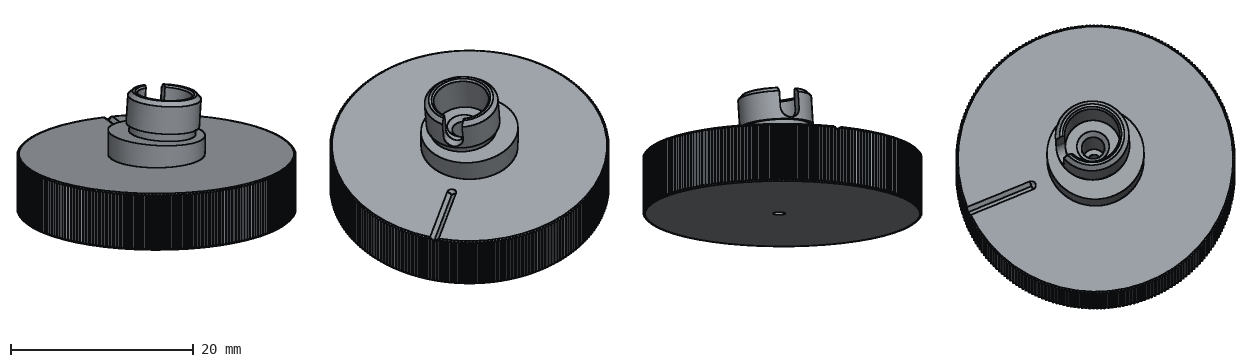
import cadquery as cq
import math

DISC_RADIUS = 15.25
DISC_HEIGHT = 6.47
DISC_CHAMFER = 0.2
KNURL_COUNT = 234
KNURL_DEPTH = 0.18
KNURL_GROOVE_SHARE = 0.78

POINTER_HALF_WIDTH = 0.5
POINTER_DEPTH = 0.37
POINTER_END_X = -7.62

BOSS_RADIUS = 5.3
BOSS_TOP_Z = 8.85

TILT_ANGLE = 3.7
SOCKET_OFFSET_Y = 0.67
NECK_RADIUS = 3.65
NECK_HEIGHT = 0.9
NECK_ROOT = NECK_HEIGHT
COLLAR_RADIUS = 4.03
SOCKET_HEIGHT = 4.5
COLLAR_CHAMFER = 0.5
BORE_RADIUS = 3.02
BORE_FLOOR = 0.45
BORE_CHAMFER = 0.2

SLOT_WIDTH = 2.23
SLOT_BOTTOM = 1.1

COUNTERSINK_RADIUS = 1.77
SEAT_RADIUS = 1.25
COUNTERSINK_DEPTH = COUNTERSINK_RADIUS - SEAT_RADIUS
SEAT_DEPTH = 4.58
HOLE_RADIUS = 0.65
HOLE_OFFSET_Y = 0.4

TILTED = cq.Plane(origin=(0, SOCKET_OFFSET_Y, BOSS_TOP_Z)).rotated((-TILT_ANGLE, 0, 0))


def polar(radius, angle):
    return (radius * math.cos(angle), radius * math.sin(angle))


def revolve_on_tilted_axis(profile):
    """Turn (radius, height) points about the tilted axis."""
    plane = cq.Plane(origin=TILTED.origin, xDir=TILTED.xDir, normal=-TILTED.yDir)
    return cq.Workplane(plane).polyline(profile).close().revolve(360, (0, 0), (0, 1))


def knurled_blank():
    """Prism with round-crested teeth and V-shaped grooves around its rim."""
    pitch = 2 * math.pi / KNURL_COUNT
    half_crest = pitch * (1 - KNURL_GROOVE_SHARE) / 2
    root_radius = DISC_RADIUS - KNURL_DEPTH
    rim = cq.Workplane("XY").moveTo(*polar(root_radius, -pitch / 2))
    for tooth in range(KNURL_COUNT):
        middle = tooth * pitch
        crest_start = polar(DISC_RADIUS, middle - half_crest)
        crest_middle = polar(DISC_RADIUS, middle)
        crest_end = polar(DISC_RADIUS, middle + half_crest)
        rim = rim.lineTo(*crest_start).threePointArc(crest_middle, crest_end)
        rim = rim.lineTo(*polar(root_radius, middle + pitch / 2))
    return rim.close().extrude(DISC_HEIGHT)


def chamfer_envelope():
    """Round body whose conical ends chamfer the disc and whose middle stays clear of the teeth."""
    end_radius = DISC_RADIUS - DISC_CHAMFER
    reach = 2 * DISC_CHAMFER
    return (
        cq.Workplane("XZ")
        .polyline([
            (0, 0),
            (end_radius, 0),
            (end_radius + reach, reach),
            (end_radius + reach, DISC_HEIGHT - reach),
            (end_radius, DISC_HEIGHT),
            (0, DISC_HEIGHT),
        ])
        .close()
        .revolve(360, (0, 0), (0, 1))
    )


def pointer_groove():
    """V groove running out through the rim, closed at its inner end by half a cone."""
    start = cq.Workplane("YZ", origin=(POINTER_END_X, 0, DISC_HEIGHT))
    left = (-POINTER_HALF_WIDTH, 0)
    right = (POINTER_HALF_WIDTH, 0)
    tip = (0, -POINTER_DEPTH)
    groove = start.polyline([left, right, tip]).close().extrude(-DISC_RADIUS)
    conical_end = start.polyline([(0, 0), right, tip]).close().revolve(180, (0, 0), tip)
    return groove.union(conical_end)


def sloped_boss():
    boss = cq.Workplane("XY").circle(BOSS_RADIUS).extrude(BOSS_TOP_Z + BOSS_RADIUS)
    above_slope = cq.Workplane(TILTED).circle(2 * BOSS_RADIUS).extrude(2 * BOSS_RADIUS)
    return boss.cut(above_slope)


def socket():
    return revolve_on_tilted_axis([
        (0, -NECK_ROOT),
        (NECK_RADIUS, -NECK_ROOT),
        (NECK_RADIUS, NECK_HEIGHT),
        (COLLAR_RADIUS, NECK_HEIGHT),
        (COLLAR_RADIUS, SOCKET_HEIGHT - COLLAR_CHAMFER),
        (COLLAR_RADIUS - COLLAR_CHAMFER, SOCKET_HEIGHT),
        (0, SOCKET_HEIGHT),
    ])


def stepped_bore():
    return revolve_on_tilted_axis([
        (0, SOCKET_HEIGHT),
        (BORE_RADIUS + BORE_CHAMFER, SOCKET_HEIGHT),
        (BORE_RADIUS, SOCKET_HEIGHT - BORE_CHAMFER),
        (BORE_RADIUS, BORE_FLOOR),
        (COUNTERSINK_RADIUS, BORE_FLOOR),
        (SEAT_RADIUS, BORE_FLOOR - COUNTERSINK_DEPTH),
        (SEAT_RADIUS, BORE_FLOOR - SEAT_DEPTH),
        (0, BORE_FLOOR - SEAT_DEPTH),
    ])


def side_slot():
    plane = cq.Plane(origin=TILTED.origin, xDir=-TILTED.yDir, normal=-TILTED.xDir)
    half_width = SLOT_WIDTH / 2
    return (
        cq.Workplane(plane)
        .moveTo(-half_width, SOCKET_HEIGHT)
        .lineTo(-half_width, SLOT_BOTTOM + half_width)
        .threePointArc((0, SLOT_BOTTOM), (half_width, SLOT_BOTTOM + half_width))
        .lineTo(half_width, SOCKET_HEIGHT)
        .close()
        .extrude(2 * COLLAR_RADIUS)
    )


through_hole = cq.Workplane("XY").center(0, HOLE_OFFSET_Y).circle(HOLE_RADIUS).extrude(BOSS_TOP_Z)

disc = knurled_blank().intersect(chamfer_envelope()).cut(pointer_groove())
knob = sloped_boss().union(socket()).cut(side_slot())
result = disc.union(knob).cut(stepped_bore().union(through_hole))